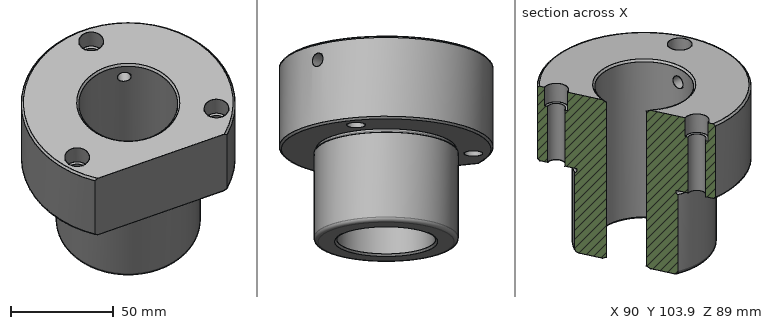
import cadquery as cq
import math

flange_diameter = 103.9
flange_height = 42.0
flat_offset = 38.0
flange_chamfer = 1.0

total_height = 89.0
spigot_diameter = 70.0
spigot_fillet = 2.0
groove_depth = 0.9
groove_height = 2.0

bore_diameter = 48.0
bore_chamfer = 1.0

bolt_circle_radius = 43.0
bolt_angles = (60, 180, 300)
bolt_diameter = 9.0
counterbore_diameter = 12.0
counterbore_depth = 10.4

side_hole_diameter = 6.7
side_hole_drop = 8.7
side_hole_angle = 160

shoulder_z = total_height - flange_height


def make_flange():
    """Chamfered disc with one flat on the +X side."""
    disc = (
        cq.Workplane("XY", origin=(0, 0, shoulder_z))
        .circle(flange_diameter / 2)
        .extrude(flange_height)
        .faces("<Z or >Z")
        .chamfer(flange_chamfer)
    )
    keep_length = flange_diameter / 2 + flat_offset
    keep = cq.Workplane("XY").box(
        keep_length, flange_diameter, total_height, centered=(False, True, False)
    ).translate((-flange_diameter / 2, 0, 0))
    return disc.intersect(keep)


def make_spigot():
    """Revolved spigot with a rounded lower end and a relief groove with a concave lower corner."""
    radius = spigot_diameter / 2
    groove_radius = radius - groove_depth
    groove_z = shoulder_z - groove_height
    arc_inset = groove_depth * (1 - math.sqrt(0.5))
    spigot = (
        cq.Workplane("XZ")
        .lineTo(radius, 0)
        .lineTo(radius, groove_z)
        .threePointArc(
            (groove_radius + arc_inset, groove_z + arc_inset),
            (groove_radius, groove_z + groove_depth),
        )
        .lineTo(groove_radius, shoulder_z)
        .lineTo(0, shoulder_z)
        .close()
        .revolve(360, (0, 0), (0, 1))
    )
    return spigot.faces("<Z").edges().fillet(spigot_fillet)


def make_bore():
    """Through bore, chamfered at both ends."""
    radius = bore_diameter / 2
    mouth = radius + bore_chamfer
    profile = [
        (0, 0),
        (mouth, 0),
        (radius, bore_chamfer),
        (radius, total_height - bore_chamfer),
        (mouth, total_height),
        (0, total_height),
    ]
    return cq.Workplane("XZ").polyline(profile).close().revolve(360, (0, 0), (0, 1))


def drill_bolt_holes(body):
    """Counterbored holes, spaced evenly and mirrored about the X axis."""
    centres = [
        (
            bolt_circle_radius * math.cos(math.radians(angle)),
            bolt_circle_radius * math.sin(math.radians(angle)),
        )
        for angle in bolt_angles
    ]
    return (
        body.faces(">Z")
        .workplane(origin=(0, 0, total_height))
        .pushPoints(centres)
        .cboreHole(bolt_diameter, counterbore_diameter, counterbore_depth)
    )


def make_side_hole():
    """Radial cylinder from the bore axis out through the rim."""
    return (
        cq.Workplane("YZ", origin=(0, 0, total_height - side_hole_drop))
        .circle(side_hole_diameter / 2)
        .extrude(flange_diameter / 2)
        .rotate((0, 0, 0), (0, 0, 1), side_hole_angle)
    )


body = make_flange().union(make_spigot()).cut(make_bore())
body = drill_bolt_holes(body)
result = body.cut(make_side_hole())